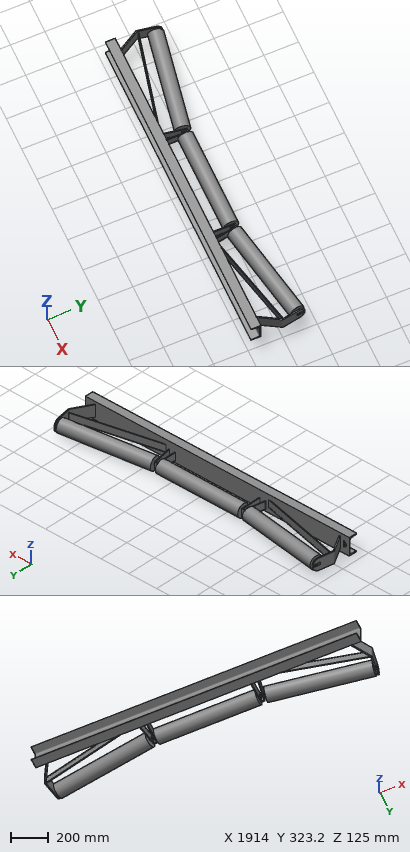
import cadquery as cq
import math


OVERALL_LENGTH = 1914.0

BEAM_LENGTH = 1900.0
BEAM_DEPTH = 57.0
BEAM_HEIGHT = 120.0
WEB_THICKNESS = 7.0
FLANGE_TIP_THICKNESS = 6.9
FLANGE_ROOT_THICKNESS = 11.0
FLANGE_ROOT_FILLET = 8.6
FLANGE_TIP_FILLET = 4.8
BEAM_HOLE_RADIUS = 20.0
BEAM_HOLE_EDGE_OFFSET = 42.0

ROLLER_LENGTH = 593.0
ROLLER_DIAMETER = 90.0
CENTRE_ROLLER_Y = 175.0
ROLLER_AXIS_Z = -20.0
TROUGH_ANGLE = 10.0
FORWARD_TILT = 1.9
SIDE_ROLLER_START_X = 339.0
SIDE_ROLLER_START_Y = 176.0
SHAFT_RADIUS = 10.0
SHAFT_FLAT_WIDTH = 14.0

OUTER_BRACKET_WIDTH = 80.0
INNER_PLATE_THICKNESS = 6.0
UPRIGHT_GAP = 4.8
LEANING_GAP = 10.0
INNER_BRACKET_WIDTH = 54.0
TIE_THICKNESS = 8.0
INNER_BRACKET_TOP_Y = 195.0
OUTER_PLATE_THICKNESS = 8.0
OUTER_LEG_ANGLE = 30.0
BEND_INNER_RADIUS = 5.0
BEND_CENTRE_Y = 184.0

BRACE_THICKNESS = 6.0
BRACE_WIDTH = 50.0
BRACE_FOOT_X = 370.0
BRACE_TOP_Y = 193.0

TROUGH = math.radians(TROUGH_ANGLE)
LEG = math.radians(OUTER_LEG_ANGLE)
HEAD_SLOPE = math.tan(TROUGH)
UPRIGHT_X = ROLLER_LENGTH / 2 + UPRIGHT_GAP
BEND_OUTER_RADIUS = BEND_INNER_RADIUS + OUTER_PLATE_THICKNESS
BEND_CENTRE_X = OVERALL_LENGTH / 2 - BEND_OUTER_RADIUS
FAR = 2 * OVERALL_LENGTH

OUTER_FACE_DISTANCE = (
    (BEND_CENTRE_X - SIDE_ROLLER_START_X) * math.cos(TROUGH)
    + (BEND_CENTRE_Y - SIDE_ROLLER_START_Y) * math.sin(TROUGH)
    + BEND_OUTER_RADIUS
)


def mirrored(body):
    """The matching body on the -X side."""
    return body.mirror("YZ")


def to_side_roller(body):
    """Move a body from the roller frame (axis on +X, inner end face at the origin)."""
    return (
        body.rotate((0, 0, 0), (0, 1, 0), -FORWARD_TILT)
        .rotate((0, 0, 0), (0, 0, 1), TROUGH_ANGLE)
        .translate((SIDE_ROLLER_START_X, SIDE_ROLLER_START_Y, ROLLER_AXIS_Z))
    )


def to_centre_roller(body):
    """Move a body from the roller frame to the centre roller."""
    return body.translate((-ROLLER_LENGTH / 2, CENTRE_ROLLER_Y, ROLLER_AXIS_Z))


def make_beam():
    """Channel with tapered flanges and a D-shaped hole near each end of the web."""
    half = BEAM_HEIGHT / 2
    web_y = BEAM_DEPTH - WEB_THICKNESS
    tip_z = half - FLANGE_TIP_THICKNESS
    root_z = half - FLANGE_ROOT_THICKNESS
    beam = (
        cq.Workplane("YZ")
        .polyline([
            (BEAM_DEPTH, -half), (0, -half), (0, -tip_z), (web_y, -root_z),
            (web_y, root_z), (0, tip_z), (0, half), (BEAM_DEPTH, half),
        ])
        .close()
        .extrude(BEAM_LENGTH / 2, both=True)
    )
    for side in (-1, 1):
        root = cq.selectors.NearestToPointSelector((0, web_y, side * root_z))
        beam = beam.edges(root).fillet(FLANGE_ROOT_FILLET)
        tip = cq.selectors.NearestToPointSelector((0, 0, side * tip_z))
        beam = beam.edges(tip).fillet(FLANGE_TIP_FILLET)
    flat_x = BEAM_LENGTH / 2 - BEAM_HOLE_EDGE_OFFSET
    hole = (
        cq.Workplane("XZ")
        .moveTo(flat_x, -BEAM_HOLE_RADIUS)
        .threePointArc((flat_x + BEAM_HOLE_RADIUS, 0), (flat_x, BEAM_HOLE_RADIUS))
        .close()
        .extrude(-BEAM_DEPTH)
    )
    return beam.cut(hole).cut(mirrored(hole))


def shaft_blank():
    """Long round bar with two flats, in the roller frame."""
    bar = cq.Workplane("YZ").circle(SHAFT_RADIUS).extrude(FAR / 2, both=True)
    flats = cq.Workplane("XY").box(FAR, 2 * SHAFT_RADIUS, SHAFT_FLAT_WIDTH)
    return bar.intersect(flats)


def make_roller(shaft_start, shaft_end):
    """Roller barrel with a flatted shaft reaching from shaft_start to shaft_end along its axis."""
    barrel = cq.Workplane("YZ").circle(ROLLER_DIAMETER / 2).extrude(ROLLER_LENGTH)
    span = (
        cq.Workplane("YZ", origin=(shaft_start, 0, 0))
        .circle(ROLLER_DIAMETER / 2)
        .extrude(shaft_end - shaft_start)
    )
    return barrel.union(shaft_blank().intersect(span))


def make_centre_roller():
    """Level roller whose shaft ends are flush with the upright plates."""
    stub = UPRIGHT_GAP + INNER_PLATE_THICKNESS
    return to_centre_roller(make_roller(-stub, ROLLER_LENGTH + stub))


def make_side_roller():
    """Inclined roller carried by the leaning plate and the outer bracket's head."""
    stub = LEANING_GAP + INNER_PLATE_THICKNESS
    return to_side_roller(make_roller(-stub, OUTER_FACE_DISTANCE))


def make_inner_bracket():
    """Upright plate and a plate square to the side roller, joined by a tie along their tops."""
    top = INNER_BRACKET_TOP_Y
    tie_bottom = top - TIE_THICKNESS
    upright_far_x = UPRIGHT_X + INNER_PLATE_THICKNESS
    setback = (LEANING_GAP + INNER_PLATE_THICKNESS) / math.cos(TROUGH)
    lean_width = INNER_PLATE_THICKNESS / math.cos(TROUGH)

    def lean_x(y):
        """The leaning plate's face on the centre roller's side, at height y."""
        return SIDE_ROLLER_START_X - setback - HEAD_SLOPE * (y - SIDE_ROLLER_START_Y)

    def prism(points):
        blank = cq.Workplane("XY").polyline(points).close().extrude(INNER_BRACKET_WIDTH / 2, both=True)
        return blank.translate((0, 0, ROLLER_AXIS_Z))

    upright = prism([
        (UPRIGHT_X, BEAM_DEPTH), (upright_far_x, BEAM_DEPTH), (upright_far_x, top), (UPRIGHT_X, top),
    ])
    leaning = prism([
        (lean_x(BEAM_DEPTH), BEAM_DEPTH), (lean_x(BEAM_DEPTH) + lean_width, BEAM_DEPTH),
        (lean_x(top) + lean_width, top), (lean_x(top), top),
    ])
    tie = prism([
        (upright_far_x, tie_bottom), (lean_x(tie_bottom), tie_bottom),
        (lean_x(top), top), (upright_far_x, top),
    ])
    upright = upright.cut(to_centre_roller(shaft_blank()))
    leaning = leaning.cut(to_side_roller(shaft_blank()))
    return upright.union(leaning).union(tie)


def bend_point(radius, angle):
    """Point on the outer bracket's bend, at an angle from +X about the bend centre."""
    return (BEND_CENTRE_X + radius * math.cos(angle), BEND_CENTRE_Y + radius * math.sin(angle))


def head_point(radius, y):
    """Point at height y on the flat head face that is tangent to the bend of the given radius."""
    tangent_x, tangent_y = bend_point(radius, TROUGH)
    return (tangent_x - HEAD_SLOPE * (y - tangent_y), y)


def leg_foot(radius):
    """Point on the beam of the leg face that is tangent to the bend of the given radius."""
    tangent_x, tangent_y = bend_point(radius, -LEG)
    return (tangent_x - math.tan(LEG) * (tangent_y - BEAM_DEPTH), BEAM_DEPTH)


def head_envelope():
    """Strip of bracket width along the side roller's direction, half-round above its axis."""
    strip = cq.Workplane("XY").box(FAR, FAR, OUTER_BRACKET_WIDTH).translate((0, -FAR / 2, 0))
    cap = cq.Workplane("YZ").circle(OUTER_BRACKET_WIDTH / 2).extrude(FAR / 2, both=True)
    return (
        strip.union(cap)
        .rotate((0, 0, 0), (0, 0, 1), TROUGH_ANGLE)
        .translate((SIDE_ROLLER_START_X, SIDE_ROLLER_START_Y, 0))
    )


def head_slot():
    """Cutter for the side roller's shaft slot, open at the top of the head."""
    slot = cq.Workplane("XY").box(FAR, FAR, SHAFT_FLAT_WIDTH)
    return to_side_roller(slot.translate((0, FAR / 2 - SHAFT_RADIUS, 0)))


def make_outer_bracket():
    """Plate bent from a leg on the beam into a head square to the side roller."""
    blank_top = SIDE_ROLLER_START_Y + ROLLER_LENGTH
    inner, outer = BEND_INNER_RADIUS, BEND_OUTER_RADIUS
    plate = (
        cq.Workplane("XY")
        .moveTo(*leg_foot(inner))
        .lineTo(*bend_point(inner, -LEG))
        .threePointArc(bend_point(inner, 0), bend_point(inner, TROUGH))
        .lineTo(*head_point(inner, blank_top))
        .lineTo(*head_point(outer, blank_top))
        .lineTo(*bend_point(outer, TROUGH))
        .threePointArc(bend_point(outer, 0), bend_point(outer, -LEG))
        .lineTo(*leg_foot(outer))
        .close()
        .extrude(OUTER_BRACKET_WIDTH / 2, both=True)
    )
    return plate.intersect(head_envelope()).cut(head_slot())


def make_brace():
    """Flat bar from the beam up to the inner face of the outer bracket's head."""
    top_x, top_y = head_point(BEND_INNER_RADIUS, BRACE_TOP_Y)
    pitch = math.atan2(top_y - BEAM_DEPTH, top_x - BRACE_FOOT_X)
    foot_length = BRACE_THICKNESS / math.sin(pitch)
    top_drop = BRACE_THICKNESS * math.cos(TROUGH) / math.cos(TROUGH - pitch)
    return (
        cq.Workplane("XY")
        .polyline([
            (BRACE_FOOT_X, BEAM_DEPTH),
            (BRACE_FOOT_X + foot_length, BEAM_DEPTH),
            head_point(BEND_INNER_RADIUS, top_y - top_drop),
            (top_x, top_y),
        ])
        .close()
        .extrude(BRACE_WIDTH / 2, both=True)
    )


bodies = [make_beam().val(), make_centre_roller().val()]
for make_body in (make_side_roller, make_inner_bracket, make_outer_bracket, make_brace):
    body = make_body()
    bodies.append(body.val())
    bodies.append(mirrored(body).val())

result = cq.Compound.makeCompound(bodies)